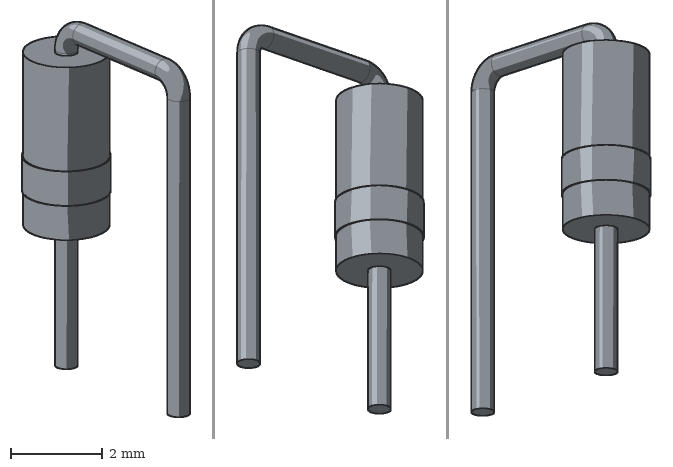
import cadquery as cq

wire_diameter = 0.51
lead_pitch = 3.81
overall_height = 8.17
bend_radius = wire_diameter

body_diameter = 1.9
body_bottom = 3.3
body_height = 4.05

band_diameter = 1.95
band_bottom = 4.11
band_height = 0.81


def cylinder(diameter, bottom, height):
    """Upright cylinder on the body axis."""
    return cq.Workplane("XY").workplane(offset=bottom).circle(diameter / 2).extrude(height)


def bent_wire():
    """Round wire running up through the body, across the top and down to the free leg."""
    top_z = overall_height - wire_diameter / 2
    bend_start_z = top_z - bend_radius
    path = (
        cq.Workplane("XZ")
        .lineTo(0, bend_start_z)
        .tangentArcPoint((bend_radius, top_z), relative=False)
        .lineTo(lead_pitch - bend_radius, top_z)
        .tangentArcPoint((lead_pitch, bend_start_z), relative=False)
        .lineTo(lead_pitch, 0)
    )
    return cq.Workplane("XY").circle(wire_diameter / 2).sweep(path)


body = cylinder(body_diameter, body_bottom, body_height)
band = cylinder(band_diameter, band_bottom, band_height)
result = body.union(band).union(bent_wire())